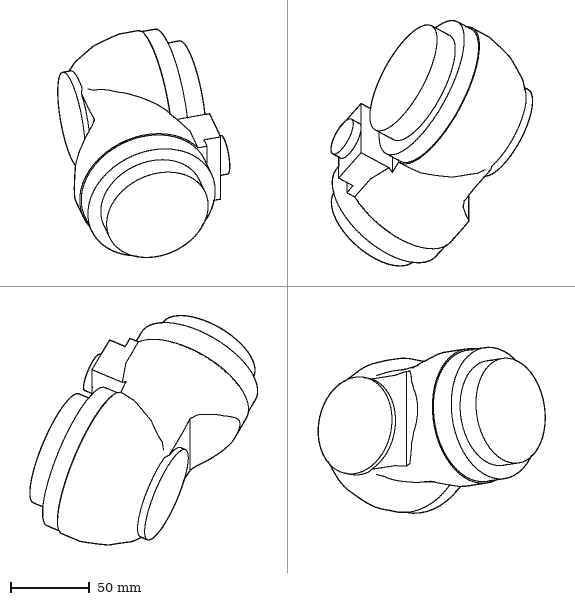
import cadquery as cq

JOINT_BODY_RADIUS = 97 / 2
JOINT_RING_RADIUS = 95 / 2
JOINT_SPIGOT_RADIUS = 75 / 2
JOINT_CAP_RADIUS = 62 / 2
SHOULDER_RADIUS = 43.9
CHAMFER_RADIUS = 36.5
DOME_BULGE = 0.2

JOINT_SPIGOT_Y = 53.0
JOINT_RING_Y = 39.0
JOINT_BODY_Y = 28.0
DOME_START_Y = 15.5
SHOULDER_Y = -1.8
CAP_BASE_Y = -20.0
CAP_FACE_Y = -25.0
CHAMFER_Y = CAP_BASE_Y + CHAMFER_RADIUS - JOINT_CAP_RADIUS

ARM_BODY_RADIUS = 86 / 2
ARM_FLANGE_RADIUS = 84 / 2
ARM_SPIGOT_RADIUS = 67 / 2
NECK_RADIUS = 36.2
FLARE_RADIUS = 37.6
FLARE_BULGE = 0.2

NECK_END_X = 30.4
FLARE_START_X = 42.3
ARM_BODY_X = 62.7
ARM_FLANGE_X = 80.5
ARM_SPIGOT_X = 95.5
ARM_END_X = 157.3 - JOINT_BODY_RADIUS

RELIEF_FLOOR = [
    (0, -21.6),
    (40.4, -21.6),
    (45.3, -24.2),
    (58.1, -37.1),
    (62.9, -40.7),
    (68.2, -ARM_BODY_RADIUS),
]

PAD_DIAMETER = 25.0
BLOCK_HEIGHT = 50.0
BLOCK_START_X = 48.7
BLOCK_STEP_X = BLOCK_START_X + PAD_DIAMETER
BLOCK_LOW_Y = 41.0
BLOCK_HIGH_Y = 52.0
PAD_FACE_Y = 58.0

CLEARANCE = 10.0


def box_between(x_start, x_end, y_start, y_end, height):
    """Box with the given X and Y limits, centred on Z = 0."""
    return (
        cq.Workplane("XY")
        .box(x_end - x_start, y_end - y_start, height, centered=(False, False, True))
        .translate((x_start, y_start, 0))
    )


def make_joint():
    dome_mid = (
        (JOINT_BODY_RADIUS + SHOULDER_RADIUS) / 2 + DOME_BULGE,
        (DOME_START_Y + SHOULDER_Y) / 2,
    )
    profile = (
        cq.Workplane("XY")
        .moveTo(0, JOINT_SPIGOT_Y)
        .lineTo(JOINT_SPIGOT_RADIUS, JOINT_SPIGOT_Y)
        .lineTo(JOINT_SPIGOT_RADIUS, JOINT_RING_Y)
        .lineTo(JOINT_RING_RADIUS, JOINT_RING_Y)
        .lineTo(JOINT_RING_RADIUS, JOINT_BODY_Y)
        .lineTo(JOINT_BODY_RADIUS, JOINT_BODY_Y)
        .lineTo(JOINT_BODY_RADIUS, DOME_START_Y)
        .threePointArc(dome_mid, (SHOULDER_RADIUS, SHOULDER_Y))
        .lineTo(CHAMFER_RADIUS, CHAMFER_Y)
        .lineTo(JOINT_CAP_RADIUS, CAP_BASE_Y)
        .lineTo(JOINT_CAP_RADIUS, CAP_FACE_Y)
        .lineTo(0, CAP_FACE_Y)
        .close()
    )
    return profile.revolve(360, (0, 0, 0), (0, 1, 0))


def make_arm():
    flare_mid = (
        (FLARE_START_X + ARM_BODY_X) / 2,
        (FLARE_RADIUS + ARM_BODY_RADIUS) / 2 + FLARE_BULGE,
    )
    profile = (
        cq.Workplane("XY")
        .lineTo(0, NECK_RADIUS)
        .lineTo(NECK_END_X, NECK_RADIUS)
        .lineTo(FLARE_START_X, FLARE_RADIUS)
        .threePointArc(flare_mid, (ARM_BODY_X, ARM_BODY_RADIUS))
        .lineTo(ARM_FLANGE_X, ARM_BODY_RADIUS)
        .lineTo(ARM_FLANGE_X, ARM_FLANGE_RADIUS)
        .lineTo(ARM_SPIGOT_X, ARM_FLANGE_RADIUS)
        .lineTo(ARM_SPIGOT_X, ARM_SPIGOT_RADIUS)
        .lineTo(ARM_END_X, ARM_SPIGOT_RADIUS)
        .lineTo(ARM_END_X, 0)
        .close()
    )
    return profile.revolve(360, (0, 0, 0), (1, 0, 0))


def make_front_relief():
    """Solid on the -Y side of the relief floor, spanning the arm along Z."""
    below_part = -ARM_BODY_RADIUS - CLEARANCE
    outline = RELIEF_FLOOR + [(RELIEF_FLOOR[-1][0], below_part), (0, below_part)]
    return cq.Workplane("XY").polyline(outline).close().extrude(ARM_BODY_RADIUS, both=True)


def make_rear_clearance():
    """Space behind the arm: beside the joint ring, and above the low block step."""
    full_height = 2 * (ARM_BODY_RADIUS + CLEARANCE)
    rear_y = ARM_BODY_RADIUS + CLEARANCE
    beside_ring = box_between(-CLEARANCE, BLOCK_START_X, JOINT_BODY_Y, rear_y, full_height)
    above_step = box_between(BLOCK_START_X, ARM_FLANGE_X, BLOCK_LOW_Y, rear_y, full_height)
    return beside_ring.union(above_step)


def make_block():
    low_step = box_between(BLOCK_START_X, ARM_FLANGE_X, 0, BLOCK_LOW_Y, BLOCK_HEIGHT)
    high_step = box_between(BLOCK_START_X, BLOCK_STEP_X, 0, BLOCK_HIGH_Y, BLOCK_HEIGHT)
    pad = (
        cq.Workplane("XZ", origin=((BLOCK_START_X + BLOCK_STEP_X) / 2, PAD_FACE_Y, 0))
        .circle(PAD_DIAMETER / 2)
        .extrude(PAD_FACE_Y - BLOCK_HIGH_Y)
    )
    return low_step.union(high_step).union(pad)


arm = make_arm().cut(make_front_relief()).cut(make_rear_clearance())
result = make_joint().union(arm).union(make_block())